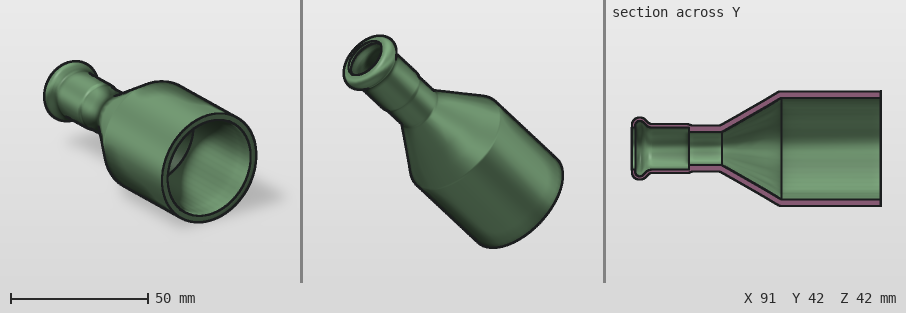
import cadquery as cq
import math

LENGTH = 91.0
BODY_RADIUS = 42.0 / 2
SOCKET_RADIUS = 18.0 / 2
NECK_RADIUS = 17.0 / 2

BEAD_RADIUS = 3.0
BEAD_CENTRE_RADIUS = 8.5
BEAD_BACK_ANGLE = math.radians(45)
BEAD_BLEND_RADIUS = 1.9

STEP_START = 20.4
STEP_ANGLE = math.radians(29)
STEP_OUTER_RADIUS = 2.3

CONE_START = 31.85
CONE_ANGLE = math.radians(30)
CONE_BLEND_RADIUS = 1.6

SOCKET_BORE_RADIUS = 15.2 / 2
SOCKET_DEPTH = 20.9
BORE_RADIUS = 11.9 / 2
SOCKET_WALL = SOCKET_RADIUS - SOCKET_BORE_RADIUS
REDUCER_WALL = NECK_RADIUS - BORE_RADIUS


def arc_point(centre, radius, angle):
    """Point on a circle; the angle is measured from +radial towards +X."""
    return (centre[0] + radius * math.sin(angle), centre[1] + radius * math.cos(angle))


def add_arc(profile, centre, radius, start, end):
    """Continue the profile along a circle from its start angle to its end angle."""
    middle = arc_point(centre, radius, (start + end) / 2)
    return profile.threePointArc(middle, arc_point(centre, radius, end))


def add_bead(profile, inset):
    """Add the bead and its blend into the socket, set in from the outer skin by the inset."""
    lip_radius = BEAD_RADIUS - inset
    blend_radius = BEAD_BLEND_RADIUS + inset
    tube_radius = SOCKET_RADIUS - inset
    lip_centre = (BEAD_RADIUS, BEAD_CENTRE_RADIUS)

    skin_back = arc_point(lip_centre, BEAD_RADIUS, BEAD_BACK_ANGLE)
    skin_blend_drop = BEAD_BLEND_RADIUS * (1 - math.cos(BEAD_BACK_ANGLE))
    slope_length_x = (skin_back[1] - SOCKET_RADIUS - skin_blend_drop) / math.tan(BEAD_BACK_ANGLE)
    blend_end_x = skin_back[0] + slope_length_x + BEAD_BLEND_RADIUS * math.sin(BEAD_BACK_ANGLE)
    blend_centre = (blend_end_x, tube_radius + blend_radius)

    profile = profile.lineTo(inset, BEAD_CENTRE_RADIUS)
    profile = add_arc(profile, lip_centre, lip_radius, -math.pi / 2, BEAD_BACK_ANGLE)
    profile = profile.lineTo(*arc_point(blend_centre, blend_radius, math.pi + BEAD_BACK_ANGLE))
    return add_arc(profile, blend_centre, blend_radius, math.pi + BEAD_BACK_ANGLE, math.pi)


def outer_solid():
    step_drop = SOCKET_RADIUS - NECK_RADIUS
    step_radius_sum = step_drop / (1 - math.cos(STEP_ANGLE))
    step_inner_radius = step_radius_sum - STEP_OUTER_RADIUS
    step_end = STEP_START + step_radius_sum * math.sin(STEP_ANGLE)
    step_outer_centre = (STEP_START, SOCKET_RADIUS - STEP_OUTER_RADIUS)
    step_inner_centre = (step_end, NECK_RADIUS + step_inner_radius)

    cone_foot_centre = (CONE_START, NECK_RADIUS + CONE_BLEND_RADIUS)
    cone_foot = arc_point(cone_foot_centre, CONE_BLEND_RADIUS, math.pi - CONE_ANGLE)
    blend_rise = CONE_BLEND_RADIUS * (1 - math.cos(CONE_ANGLE))
    shoulder_radius = BODY_RADIUS - blend_rise
    shoulder_x = cone_foot[0] + (shoulder_radius - cone_foot[1]) / math.tan(CONE_ANGLE)
    body_start = shoulder_x + CONE_BLEND_RADIUS * math.sin(CONE_ANGLE)
    shoulder_centre = (body_start, BODY_RADIUS - CONE_BLEND_RADIUS)

    profile = add_bead(cq.Workplane("XY"), 0)
    profile = profile.lineTo(STEP_START, SOCKET_RADIUS)
    profile = add_arc(profile, step_outer_centre, STEP_OUTER_RADIUS, 0, STEP_ANGLE)
    profile = add_arc(profile, step_inner_centre, step_inner_radius, math.pi + STEP_ANGLE, math.pi)
    profile = profile.lineTo(CONE_START, NECK_RADIUS)
    profile = add_arc(profile, cone_foot_centre, CONE_BLEND_RADIUS, math.pi, math.pi - CONE_ANGLE)
    profile = profile.lineTo(shoulder_x, shoulder_radius)
    profile = add_arc(profile, shoulder_centre, CONE_BLEND_RADIUS, -CONE_ANGLE, 0)
    profile = profile.lineTo(LENGTH, BODY_RADIUS).lineTo(LENGTH, 0).close()
    return profile.revolve(360, (0, 0, 0), (1, 0, 0))


def inner_cavity():
    body_bore_radius = BODY_RADIUS - REDUCER_WALL

    wall_shift = REDUCER_WALL * math.tan(CONE_ANGLE / 2)
    cone_foot_x = CONE_START + CONE_BLEND_RADIUS * math.tan(CONE_ANGLE / 2)
    bore_flare_start = cone_foot_x + wall_shift
    bore_flare_end = bore_flare_start + (body_bore_radius - BORE_RADIUS) / math.tan(CONE_ANGLE)

    profile = cq.Workplane("XY").lineTo(0, SOCKET_BORE_RADIUS)
    profile = profile.lineTo(SOCKET_WALL, SOCKET_BORE_RADIUS)
    profile = add_bead(profile, SOCKET_WALL)
    profile = profile.lineTo(SOCKET_DEPTH, SOCKET_BORE_RADIUS).lineTo(SOCKET_DEPTH, BORE_RADIUS)
    profile = profile.lineTo(bore_flare_start, BORE_RADIUS).lineTo(bore_flare_end, body_bore_radius)
    profile = profile.lineTo(LENGTH, body_bore_radius).lineTo(LENGTH, 0).close()
    return profile.revolve(360, (0, 0, 0), (1, 0, 0))


result = outer_solid().cut(inner_cavity())